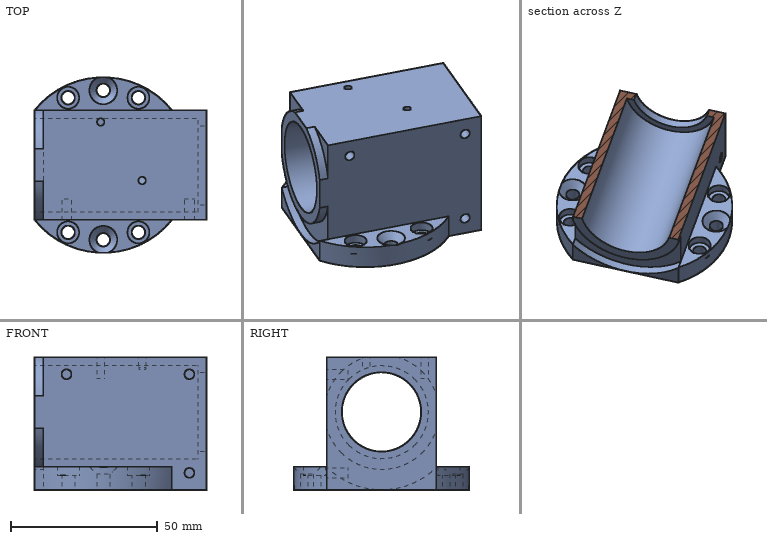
import cadquery as cq
import math

body_length = 58.8
body_width = 37.5
total_height = 45.4
half_width = body_width / 2

flange_radius = 30
flange_thickness = 8.0
flange_center_x = 23.5

bore_z = total_height - half_width
bore_diameter = 31.8
lip_diameter = 27
lip_thickness = 3

collar_diameter = 39.1
recess_radius = half_width * math.sqrt(2)
recess_depth = 3

mount_hole_diameter = 4.5
counterbore_diameter = 7.5
counterbore_depth = 3
counterbore_offset_x = 12
counterbore_y = 23.0
countersink_diameter = 9.5
countersink_angle = 90
countersink_y = 25.5

side_hole_diameter = 3.35
side_hole_depth = 7.2
side_hole_inset = 5.9
side_hole_front_x = 11.0

top_hole_diameter = 2.5
top_blind_position = (22.6, 14.7)
top_blind_depth = 7.2
top_port_position = (36.8, -5.3)


def x_cylinder(diameter, start_x, length):
    """Cylinder on the bore axis."""
    return (
        cq.Workplane("YZ", origin=(start_x, 0, bore_z))
        .circle(diameter / 2)
        .extrude(length)
    )


def make_body():
    block = cq.Workplane("XY").box(
        body_length, body_width, total_height, centered=(False, True, False)
    )
    flange = (
        cq.Workplane("XY")
        .center(flange_center_x, 0)
        .circle(flange_radius)
        .extrude(flange_thickness)
    )
    flange_limit = cq.Workplane("XY").box(
        body_length, 2 * flange_radius, flange_thickness, centered=(False, True, False)
    )
    return block.union(flange.intersect(flange_limit))


def cut_mouth_recess(part):
    recess = x_cylinder(2 * recess_radius, 0, recess_depth)
    collar = x_cylinder(collar_diameter, 0, recess_depth)
    recess_limit = cq.Workplane("XY").box(
        recess_depth, body_width, total_height, centered=(False, True, False)
    )
    return part.cut(recess.cut(collar).intersect(recess_limit))


def cut_bore(part):
    main_bore = x_cylinder(bore_diameter, 0, body_length - lip_thickness)
    lip_opening = x_cylinder(lip_diameter, 0, body_length)
    return part.cut(main_bore).cut(lip_opening)


def cut_flange_holes(part):
    counterbore_points = [
        (flange_center_x + x_side * counterbore_offset_x, y_side * counterbore_y)
        for x_side in (-1, 1)
        for y_side in (-1, 1)
    ]
    countersink_points = [(flange_center_x, y_side * countersink_y) for y_side in (-1, 1)]
    flange_top = cq.Workplane("XY", origin=(0, 0, flange_thickness))
    part = (
        part.copyWorkplane(flange_top)
        .pushPoints(counterbore_points)
        .cboreHole(mount_hole_diameter, counterbore_diameter, counterbore_depth, flange_thickness)
    )
    return (
        part.copyWorkplane(flange_top)
        .pushPoints(countersink_points)
        .cskHole(mount_hole_diameter, countersink_diameter, countersink_angle, flange_thickness)
    )


def cut_side_holes(part):
    upper_z = total_height - side_hole_inset
    rear_x = body_length - side_hole_inset
    holes = (
        cq.Workplane("XZ", origin=(0, -half_width, 0))
        .pushPoints([(side_hole_front_x, upper_z), (rear_x, upper_z), (rear_x, side_hole_inset)])
        .circle(side_hole_diameter / 2)
        .extrude(-side_hole_depth)
    )
    return part.cut(holes)


def cut_top_hole(part, position, depth):
    hole = (
        cq.Workplane("XY", origin=(0, 0, total_height))
        .center(*position)
        .circle(top_hole_diameter / 2)
        .extrude(-depth)
    )
    return part.cut(hole)


result = make_body()
result = cut_mouth_recess(result)
result = cut_bore(result)
result = cut_flange_holes(result)
result = cut_side_holes(result)
result = cut_top_hole(result, top_blind_position, top_blind_depth)
result = cut_top_hole(result, top_port_position, half_width)